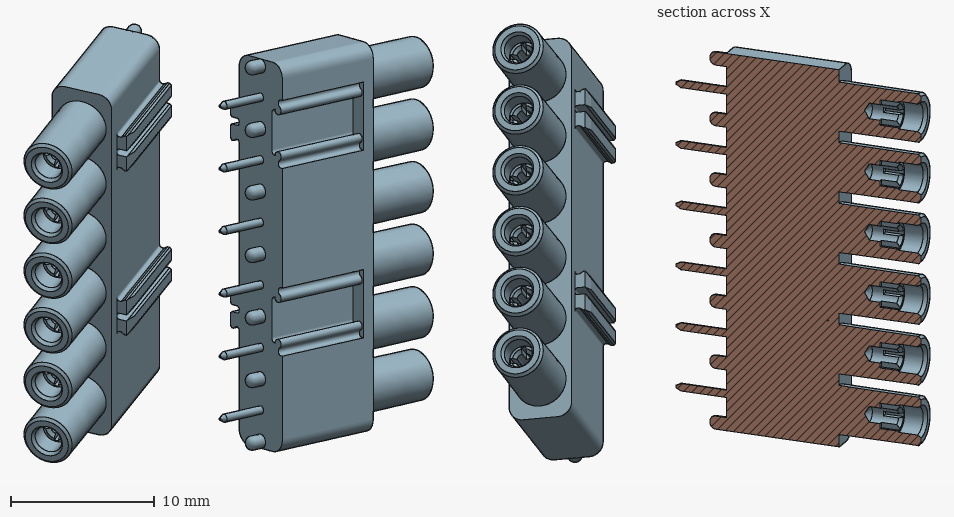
import cadquery as cq
import math

BODY_WIDTH = 4.5
BODY_DEPTH = 8.5
BODY_HEIGHT = 28.0
BODY_CORNER_RADIUS = 1.0

PEG_RADIUS = 0.5
PEG_LENGTH = 1.25
PEG_NOSE_RADIUS = 0.48

CONTACT_COUNT = 6
PEG_COUNT = CONTACT_COUNT + 1
PITCH = (BODY_HEIGHT - 2 * PEG_RADIUS) / CONTACT_COUNT

BARREL_LENGTH = 6.2
BARREL_BASE_RADIUS = 1.85
BARREL_TIP_RADIUS = 1.82
BARREL_CHAMFER = 0.2
MOUTH_RADIUS = 1.18
BORE_RADIUS = 1.0
MOUTH_CHAMFER_DEPTH = 0.28

CONTACT_FACE_DEPTH = 1.68
CONTACT_HOLE_RADIUS = 0.55
CONTACT_FUNNEL_RADIUS = 0.8
CONTACT_FUNNEL_DEPTH = 0.25
CONTACT_HOLE_DEPTH = 2.25
CONTACT_CONE_LENGTH = 0.35
CONTACT_SLOT_SPAN = 1.85
CONTACT_SLOT_WIDTH = 0.35
CONTACT_SLOT_DEPTH = 1.4

PIN_RADIUS = 0.6 / 2
PIN_LENGTH = 3.8
PIN_TIP_LENGTH = 0.4
PIN_TIP_RADIUS = 0.08

COUPLING_HEIGHTS = (2 * PITCH, -PITCH)
COUPLING_LENGTH = 7.6

RIB_REACH = 0.9
RIB_INNER = 0.25
RIB_NECK = 1.25
RIB_HEAD = 1.43
RIB_NECK_LENGTH = 0.35
RIB_HEAD_START = 0.6
RIB_ROOT_RADIUS = 0.2
RIB_TIP_CHAMFER = 0.15
RIB_TIP_BEVEL_LENGTH = 1.0
RIB_TIP_BEVEL_DROP = 0.17

GROOVE_DEPTH = 1.1
LIP_RADIUS = 0.65 / 2
LIP_OFFSET = 1.65
LIP_CENTRE_DEPTH = 0.45
VALLEY_RADIUS = 0.28
VALLEY_CENTRE_DEPTH = 0.15
FLOOR_RADIUS = GROOVE_DEPTH - LIP_CENTRE_DEPTH - LIP_RADIUS

OVERLAP = 0.28

body_half_width = BODY_WIDTH / 2


def centred_heights(count):
    """Heights of evenly pitched features, centred on z = 0."""
    return [(i - (count - 1) / 2) * PITCH for i in range(count)]


def revolve_about_y(points):
    """Solid of revolution about the Y axis from (radius, y) points."""
    return cq.Workplane("XY").polyline(points).close().revolve(360, (0, 0, 0), (0, 1, 0))


def extrude_from_back(profile):
    """Extrude an XZ profile drawn on the back face forward along the coupling length."""
    return profile.close().extrude(COUPLING_LENGTH)


def back_plane():
    return cq.Workplane("XZ", origin=(0, BODY_DEPTH, 0))


def make_body():
    return (
        cq.Workplane("XZ")
        .rect(BODY_WIDTH, BODY_HEIGHT)
        .extrude(-BODY_DEPTH)
        .edges("|Y")
        .fillet(BODY_CORNER_RADIUS)
    )


def make_barrel():
    tip = -BARREL_LENGTH
    return revolve_about_y([
        (0, OVERLAP),
        (BARREL_BASE_RADIUS, OVERLAP),
        (BARREL_BASE_RADIUS, 0),
        (BARREL_TIP_RADIUS, tip + BARREL_CHAMFER),
        (BARREL_TIP_RADIUS - BARREL_CHAMFER, tip),
        (0, tip),
    ])


def make_socket_cavity():
    tip = -BARREL_LENGTH
    contact_face = tip + CONTACT_FACE_DEPTH
    hole_end = contact_face + CONTACT_HOLE_DEPTH
    cavity = revolve_about_y([
        (0, tip),
        (MOUTH_RADIUS, tip),
        (BORE_RADIUS, tip + MOUTH_CHAMFER_DEPTH),
        (BORE_RADIUS, contact_face),
        (CONTACT_FUNNEL_RADIUS, contact_face),
        (CONTACT_HOLE_RADIUS, contact_face + CONTACT_FUNNEL_DEPTH),
        (CONTACT_HOLE_RADIUS, hole_end),
        (0, hole_end + CONTACT_CONE_LENGTH),
    ])
    slot = (
        cq.Workplane("XZ", origin=(0, contact_face, 0))
        .rect(CONTACT_SLOT_SPAN, CONTACT_SLOT_WIDTH)
        .extrude(-CONTACT_SLOT_DEPTH)
    )
    crossing_slot = slot.rotate((0, 0, 0), (0, 1, 0), 90)
    return cavity.union(slot).union(crossing_slot)


def make_pin():
    tip = BODY_DEPTH + PIN_LENGTH
    return revolve_about_y([
        (0, BODY_DEPTH - OVERLAP),
        (PIN_RADIUS, BODY_DEPTH - OVERLAP),
        (PIN_RADIUS, tip - PIN_TIP_LENGTH),
        (PIN_TIP_RADIUS, tip),
        (0, tip),
    ])


def make_peg():
    return (
        cq.Workplane("XZ", origin=(0, BODY_DEPTH - OVERLAP, 0))
        .circle(PEG_RADIUS)
        .extrude(-(PEG_LENGTH + OVERLAP))
        .faces(">Y")
        .edges()
        .fillet(PEG_NOSE_RADIUS)
    )


def make_rib():
    """Upper hooked rib of a pair, centred on z = 0, with a bevelled front end."""
    face = body_half_width
    tip = face + RIB_REACH
    root_end = face + RIB_ROOT_RADIUS
    root_sag = RIB_ROOT_RADIUS * (1 - math.sqrt(0.5))
    profile = (
        back_plane()
        .moveTo(face - OVERLAP, RIB_INNER - RIB_ROOT_RADIUS)
        .lineTo(face, RIB_INNER - RIB_ROOT_RADIUS)
        .threePointArc((face + root_sag, RIB_INNER - root_sag), (root_end, RIB_INNER))
        .lineTo(tip - RIB_TIP_CHAMFER, RIB_INNER)
        .lineTo(tip, RIB_INNER + RIB_TIP_CHAMFER)
        .lineTo(tip, RIB_HEAD - RIB_TIP_CHAMFER)
        .lineTo(tip - RIB_TIP_CHAMFER, RIB_HEAD)
        .lineTo(face + RIB_HEAD_START, RIB_HEAD)
        .lineTo(face + RIB_NECK_LENGTH, RIB_NECK)
        .lineTo(root_end, RIB_NECK)
        .threePointArc((face + root_sag, RIB_NECK + root_sag), (face, RIB_NECK + RIB_ROOT_RADIUS))
        .lineTo(face - OVERLAP, RIB_NECK + RIB_ROOT_RADIUS)
    )
    rib = extrude_from_back(profile)
    front = BODY_DEPTH - COUPLING_LENGTH
    bevel = (
        cq.Workplane("XY")
        .polyline([
            (tip, front),
            (tip, front + RIB_TIP_BEVEL_LENGTH),
            (tip - RIB_TIP_BEVEL_DROP, front),
        ])
        .close()
        .extrude(RIB_HEAD)
    )
    return rib.cut(bevel)


def make_groove_half():
    """Upper half of the groove, centred on z = 0: relief valley, undercut lip and floor."""
    face = -body_half_width
    centre_distance = LIP_RADIUS + VALLEY_RADIUS
    depth_step = LIP_CENTRE_DEPTH - VALLEY_CENTRE_DEPTH
    height_step = math.sqrt(centre_distance**2 - depth_step**2)
    valley_offset = LIP_OFFSET + height_step
    tangent_x = face + LIP_CENTRE_DEPTH - depth_step * LIP_RADIUS / centre_distance
    tangent_z = LIP_OFFSET + height_step * LIP_RADIUS / centre_distance
    lip_x = face + LIP_CENTRE_DEPTH
    valley_x = face + VALLEY_CENTRE_DEPTH
    floor_x = face + GROOVE_DEPTH
    floor_sag = FLOOR_RADIUS * (1 - math.sqrt(0.5))
    profile = (
        back_plane()
        .moveTo(face, 0)
        .lineTo(face, valley_offset + VALLEY_RADIUS)
        .lineTo(valley_x, valley_offset + VALLEY_RADIUS)
        .threePointArc((valley_x + VALLEY_RADIUS, valley_offset), (tangent_x, tangent_z))
        .threePointArc((lip_x, LIP_OFFSET - LIP_RADIUS), (lip_x + LIP_RADIUS, LIP_OFFSET))
        .threePointArc(
            (floor_x - floor_sag, LIP_OFFSET - floor_sag),
            (floor_x, LIP_OFFSET - FLOOR_RADIUS),
        )
        .lineTo(floor_x, 0)
    )
    return extrude_from_back(profile)


def with_mirror(half):
    return half.union(half.mirror("XY"))


result = make_body()

barrel = make_barrel()
cavity = make_socket_cavity()
pin = make_pin()
for height in centred_heights(CONTACT_COUNT):
    result = result.union(barrel.translate((0, 0, height)))
    result = result.cut(cavity.translate((0, 0, height)))
    result = result.union(pin.translate((0, 0, height)))

peg = make_peg()
for height in centred_heights(PEG_COUNT):
    result = result.union(peg.translate((0, 0, height)))

rib_pair = with_mirror(make_rib())
groove = with_mirror(make_groove_half())
for height in COUPLING_HEIGHTS:
    result = result.union(rib_pair.translate((0, 0, height)))
    result = result.cut(groove.translate((0, 0, height)))